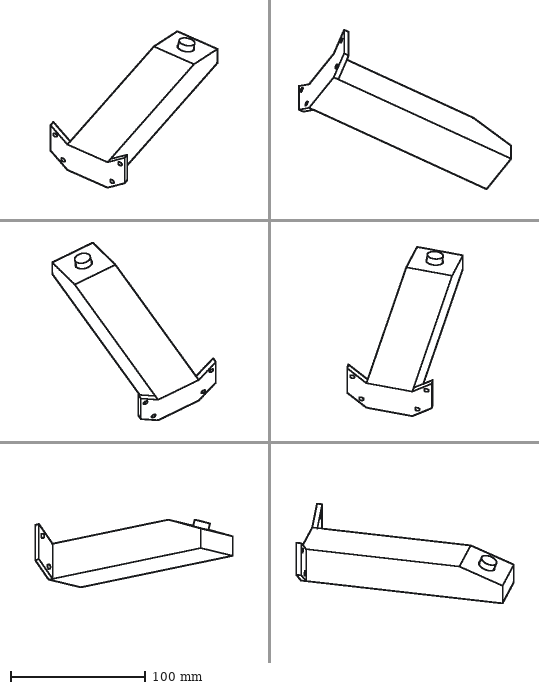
import cadquery as cq
import math

length = 154.7
body_width = 35.3
body_height = 26.9
ramp_length = 33.1
ramp_angle = 20.0

plate_width = 65.0
plate_height = 39.5
plate_thickness = 4.0
ear_rise = plate_height - body_height

hole_diameter = 3.4
upper_hole = (28.5, 31.1)
lower_hole = (21.5, 8.7)

button_diameter = 11.9
button_height = 5.0
button_from_end = 16.4
groove_diameter = 12.7
groove_depth = 1.5


def make_body():
    ramp_drop = ramp_length * math.tan(math.radians(ramp_angle))
    profile = [
        (0, 0),
        (length, 0),
        (length, body_height - ramp_drop),
        (length - ramp_length, body_height),
        (0, body_height),
    ]
    return cq.Workplane("YZ").polyline(profile).close().extrude(body_width / 2, both=True)


def make_plate():
    half_body = body_width / 2
    half_plate = plate_width / 2
    outline = [
        (-half_body, 0),
        (half_body, 0),
        (half_plate, ear_rise),
        (half_plate, plate_height),
        (half_body, body_height),
        (-half_body, body_height),
        (-half_plate, plate_height),
        (-half_plate, ear_rise),
    ]
    return cq.Workplane("XZ").polyline(outline).close().extrude(-plate_thickness)


def make_screw_holes():
    centres = [(side * x, z) for side in (-1, 1) for x, z in (upper_hole, lower_hole)]
    return cq.Workplane("XZ").pushPoints(centres).circle(hole_diameter / 2).extrude(-plate_thickness)


def make_slope_plane():
    slope = math.radians(ramp_angle)
    drop_at_button = (ramp_length - button_from_end) * math.tan(slope)
    return cq.Plane(
        origin=(0, length - button_from_end, body_height - drop_at_button),
        xDir=(1, 0, 0),
        normal=(0, math.sin(slope), math.cos(slope)),
    )


def make_button():
    return cq.Workplane(make_slope_plane()).circle(button_diameter / 2).extrude(button_height)


def make_button_groove():
    ring = cq.Workplane(make_slope_plane()).circle(groove_diameter / 2).circle(button_diameter / 2)
    return ring.extrude(-groove_depth)


plate = make_plate().cut(make_screw_holes())
body = make_body().cut(make_button_groove())
result = body.union(plate).union(make_button())